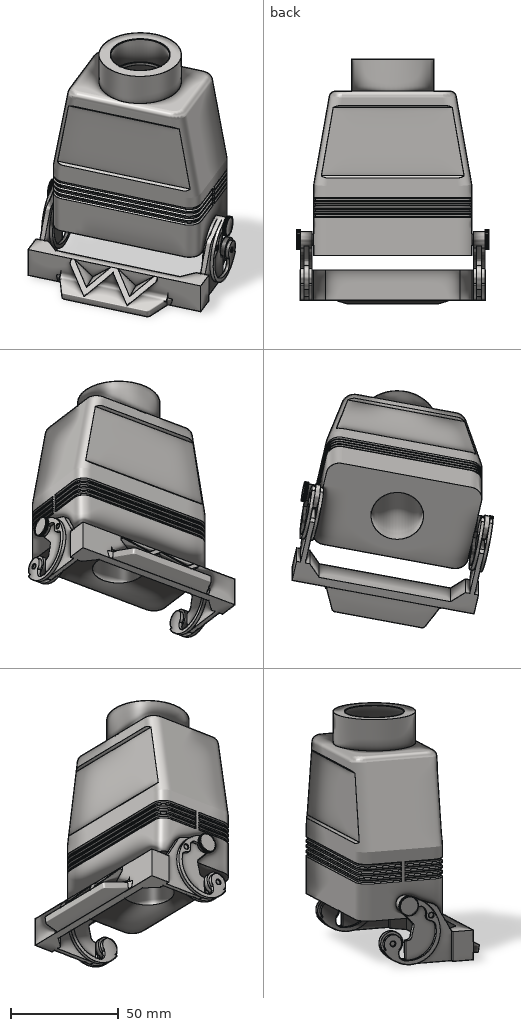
import cadquery as cq
import math

OVERLAP = 1.0

HOOD_LENGTH = 73.4
HOOD_DEPTH = 43.0
SKIRT_HEIGHT = 32.6
HOOD_HEIGHT = 76.2
ROOF_LENGTH = 58.0
HOOD_CORNER_RADIUS = 6.1
ROOF_EDGE_RADIUS = 3.1

ENTRY_DIAMETER = 38.2
ENTRY_TOP = 91.0
ENTRY_BORE = 27.8
ENTRY_BORE_DEPTH = 12.5
ENTRY_CHAMFER = 0.3
THROUGH_BORE = 24.3
SHELF_CHAMFER = 0.8

PANEL_BOTTOM = 37.0
PANEL_TOP = 68.5
PANEL_BOTTOM_LENGTH = 66.0
PANEL_TOP_LENGTH = 55.2
PANEL_DEPTH = 1.05
PANEL_WALL_ANGLE = 45.0

GROOVE_COUNT = 4
GROOVE_WIDTH = 1.8
GROOVE_FLOOR_WIDTH = 0.8
GROOVE_DEPTH = 0.8
GROOVE_CLEARANCE = 0.2
GROOVE_PITCH = 2.5
LOWEST_GROOVE_HEIGHT = 18.5
GROOVE_GAP = 1.9

PLATE_CENTER_X = 40.05
PLATE_THICKNESS = 2.3
BAND_THICKNESS = 5.5
PIVOT_HEIGHT = 7.35
PIVOT_BOSS_RADIUS = 3.9
PIVOT_SHAFT_RADIUS = 2.65
LEVER_HALF_LENGTH = 44.5
KNURL_RADIUS = 4.65
KNURL_COUNT = 36
KNURL_DEPTH = 0.3
HOOK_Y = 7.5
HOOK_Z = -10.2
HOOK_RADIUS = 5.5
HOOK_BAND_RADIUS = 4.3
DIMPLE_RADIUS = 1.4
DIMPLE_FLOOR_RADIUS = 1.15
DIMPLE_DEPTH = 0.4
STUD_Y = -11.6
STUD_Z = 1.9


BOSS_TOP = (-1.5, 10.95)
SHOULDER_START = (-13.2, 6.8)
SHOULDER_CREST = (-14.3, 6.3)
SHOULDER_END = (-15.2, 5.4)
THROAT_FOOT = (0.3, -18.9)
THROAT_LIP = (0.5, -9.7)
NOTCH_START = (-0.9, -9.6)
NOTCH_MIDDLE = (-2.1, -8.8)
NOTCH_END = (-2.6, -7.2)
KNEE_START = (-3.6, -3.1)
KNEE_MIDDLE = (-3.6, -2.5)
KNEE_END = (-3.3, -1.8)
BOSS_UNDERSIDE = (2.6, 4.4)

BAND_BACK_BULGE = (-9.9, 7.1)
ARM_OUTER_BULGE = (5.3, -19.2)
ARM_OUTER_END = (11.8, -13.6)
ARM_INNER_START = (4.2, -13.3)
ARM_INNER_BULGE = (4.3, -16.4)
ARM_INNER_END = (1.2, -18.8)
STUD_PAD_START = (-13.9, -3.2)
STUD_PAD_LOWER_BULGE = (-12.9, -1.5)
STUD_PAD_BOTTOM = (-11.4, -0.8)
STUD_PAD_SIDE_BULGE = (-9.7, 0.1)
STUD_PAD_SIDE = (-9.2, 2.0)
STUD_PAD_UPPER_BULGE = (-8.8, 4.8)
STUD_PAD_TOP = (-7.0, 6.4)

BAR_LENGTH = 86.1
BAR_BACK = -22.3
BAR_FRONT = -32.4
BAR_TOP = -6.7
BAR_BOTTOM = -20.8
BAR_NOTCH_FLOOR = -28.3
BAR_NOTCH_LENGTH = 73.6
BAR_NOTCH_FLOOR_LENGTH = 62.2

BAND_OUTER_RADIUS = 15.2
BAND_INNER_RADIUS = 13.2
BAND_CENTER_Y = -0.9
BAND_CENTER_Z = BAR_BOTTOM + BAND_OUTER_RADIUS

HANDLE_TIP = -44.14
HANDLE_LOWEST = -22.37
HANDLE_SLOPE = 8.7
HANDLE_THICKNESS = 3.6
HANDLE_ROOT_HALF = 29.1
HANDLE_NECK_HALF = 26.7
HANDLE_NECK_REACH = 1.3
HANDLE_TIP_HALF = 21.6
HANDLE_CORNER_RADIUS = 2.0
HANDLE_EDGE_RADIUS = 0.5
COVE_TOP = -13.5
COVE_REACH = 2.4
COVE_SAG = 0.27
COVE_HALF_LENGTH = 26.7

RIB_PITCH = 21.5
RIB_SHOULDER = -8.5
RIB_APEX_Z = -18.6
RIB_TIP_Y = -43.4
RIB_POCKET_LENGTH = 18.2
RIB_POCKET_APEX_Z = -15.3
RIB_POCKET_RISE = 1.2
RIB_POCKET_OVERRUN = 1.2


def make_hood():
    """Solid hood with rounded upright corners and roof edges."""
    half = HOOD_LENGTH / 2
    roof_half = ROOF_LENGTH / 2
    body = (
        cq.Workplane("XZ")
        .polyline([
            (-half, 0), (half, 0), (half, SKIRT_HEIGHT), (roof_half, HOOD_HEIGHT),
            (-roof_half, HOOD_HEIGHT), (-half, SKIRT_HEIGHT),
        ])
        .close()
        .extrude(HOOD_DEPTH / 2, both=True)
    )
    body = body.edges("#Y and (not #Z)").fillet(HOOD_CORNER_RADIUS)
    return body.faces(">Z").edges().fillet(ROOF_EDGE_RADIUS)


def make_panel_cutter():
    """Trapezoidal recess on the -Y face, widening outwards."""
    wall_y = -HOOD_DEPTH / 2
    return (
        cq.Workplane("XZ", origin=(0, wall_y + PANEL_DEPTH, 0))
        .polyline([
            (-PANEL_BOTTOM_LENGTH / 2, PANEL_BOTTOM), (PANEL_BOTTOM_LENGTH / 2, PANEL_BOTTOM),
            (PANEL_TOP_LENGTH / 2, PANEL_TOP), (-PANEL_TOP_LENGTH / 2, PANEL_TOP),
        ])
        .close()
        .extrude(PANEL_DEPTH, taper=-PANEL_WALL_ANGLE)
    )


def make_groove(height):
    """Tapered groove around the skirt, interrupted in the middle of both ends."""
    half_x = HOOD_LENGTH / 2
    half_y = HOOD_DEPTH / 2
    r = HOOD_CORNER_RADIUS
    diag = r * (1 - math.sqrt(0.5))
    path = (
        cq.Workplane("XY", origin=(0, 0, height))
        .moveTo(0, -half_y)
        .lineTo(half_x - r, -half_y)
        .threePointArc((half_x - diag, -half_y + diag), (half_x, -half_y + r))
        .lineTo(half_x, half_y - r)
        .threePointArc((half_x - diag, half_y - diag), (half_x - r, half_y))
        .lineTo(-half_x + r, half_y)
        .threePointArc((-half_x + diag, half_y - diag), (-half_x, half_y - r))
        .lineTo(-half_x, -half_y + r)
        .threePointArc((-half_x + diag, -half_y + diag), (-half_x + r, -half_y))
        .close()
    )
    ring = (
        cq.Workplane("YZ", origin=(0, -half_y, height))
        .polyline([
            (-GROOVE_CLEARANCE, -GROOVE_WIDTH / 2), (0, -GROOVE_WIDTH / 2),
            (GROOVE_DEPTH, -GROOVE_FLOOR_WIDTH / 2), (GROOVE_DEPTH, GROOVE_FLOOR_WIDTH / 2),
            (0, GROOVE_WIDTH / 2), (-GROOVE_CLEARANCE, GROOVE_WIDTH / 2),
        ])
        .close()
        .sweep(path)
    )
    gap = cq.Workplane("XY").box(2 * HOOD_LENGTH, GROOVE_GAP, 2 * GROOVE_WIDTH)
    return ring.cut(gap.translate((0, 0, height)))


def add_cable_entry(body):
    """Round collar with a stepped bore running down through the hood."""
    shelf = ENTRY_TOP - ENTRY_BORE_DEPTH
    collar = (
        cq.Workplane("XY", origin=(0, 0, HOOD_HEIGHT - OVERLAP))
        .circle(ENTRY_DIAMETER / 2).extrude(ENTRY_TOP - HOOD_HEIGHT + OVERLAP)
    )
    bore_r = ENTRY_BORE / 2
    through_r = THROUGH_BORE / 2
    bore = (
        cq.Workplane("XZ")
        .polyline([
            (0, 0), (through_r, 0), (through_r, shelf - SHELF_CHAMFER),
            (through_r + SHELF_CHAMFER, shelf), (bore_r - ENTRY_CHAMFER, shelf),
            (bore_r - ENTRY_CHAMFER, ENTRY_TOP - ENTRY_CHAMFER), (bore_r, ENTRY_TOP), (0, ENTRY_TOP),
        ])
        .close()
        .revolve(360, (0, 0, 0), (0, 1, 0))
    )
    return body.union(collar).cut(bore)


def lever_disc(y, z, radius, thickness):
    """Disc centred on the lever's middle plane."""
    disc = cq.Workplane("YZ", origin=(PLATE_CENTER_X, y, z)).circle(radius)
    return disc.extrude(thickness / 2, both=True)


def band_point(radius, degrees):
    """Point in the YZ plane on a circle about the hook band's centre."""
    angle = math.radians(degrees)
    return BAND_CENTER_Y + radius * math.cos(angle), BAND_CENTER_Z + radius * math.sin(angle)


def make_plate():
    """Middle web of the lever, from the pivot to the bar, and the hook roller disc."""
    web = (
        cq.Workplane("YZ", origin=(PLATE_CENTER_X, 0, 0))
        .moveTo(*BOSS_TOP)
        .lineTo(*SHOULDER_START)
        .threePointArc(SHOULDER_CREST, SHOULDER_END)
        .lineTo(BAR_BACK, BAR_TOP)
        .lineTo(BAR_BACK, BAR_BOTTOM)
        .lineTo(BAND_CENTER_Y, BAR_BOTTOM)
        .lineTo(*THROAT_FOOT)
        .lineTo(*THROAT_LIP)
        .lineTo(*NOTCH_START)
        .threePointArc(NOTCH_MIDDLE, NOTCH_END)
        .lineTo(*KNEE_START)
        .threePointArc(KNEE_MIDDLE, KNEE_END)
        .lineTo(*BOSS_UNDERSIDE)
        .close()
        .extrude(PLATE_THICKNESS / 2, both=True)
    )
    web = web.union(lever_disc(0, PIVOT_HEIGHT, PIVOT_BOSS_RADIUS, PLATE_THICKNESS))
    return web.union(lever_disc(HOOK_Y, HOOK_Z, HOOK_RADIUS, PLATE_THICKNESS))


def make_band():
    """Pair of C-shaped cheeks from the pivot boss round to the hook disc."""
    band = (
        cq.Workplane("YZ", origin=(PLATE_CENTER_X, 0, 0))
        .moveTo(*BOSS_TOP)
        .threePointArc(BAND_BACK_BULGE, band_point(BAND_OUTER_RADIUS, 180))
        .threePointArc(band_point(BAND_OUTER_RADIUS, 225), band_point(BAND_OUTER_RADIUS, 270))
        .threePointArc(ARM_OUTER_BULGE, ARM_OUTER_END)
        .lineTo(HOOK_Y, HOOK_Z)
        .lineTo(*ARM_INNER_START)
        .threePointArc(ARM_INNER_BULGE, ARM_INNER_END)
        .lineTo(*band_point(BAND_INNER_RADIUS, 270))
        .threePointArc(band_point(BAND_INNER_RADIUS, 225), band_point(BAND_INNER_RADIUS, 180))
        .lineTo(*STUD_PAD_START)
        .threePointArc(STUD_PAD_LOWER_BULGE, STUD_PAD_BOTTOM)
        .threePointArc(STUD_PAD_SIDE_BULGE, STUD_PAD_SIDE)
        .threePointArc(STUD_PAD_UPPER_BULGE, STUD_PAD_TOP)
        .lineTo(0, STUD_PAD_TOP[1])
        .close()
        .extrude(BAND_THICKNESS / 2, both=True)
    )
    band = band.union(lever_disc(0, PIVOT_HEIGHT, PIVOT_BOSS_RADIUS, BAND_THICKNESS))
    band = band.union(lever_disc(HOOK_Y, HOOK_Z, HOOK_BAND_RADIUS, BAND_THICKNESS))
    gap = cq.Workplane("YZ", origin=(PLATE_CENTER_X, 0, 0)).rect(BAR_LENGTH, BAR_LENGTH)
    return band.cut(gap.extrude(PLATE_THICKNESS / 2, both=True))


def make_dimple(y, z):
    """Shallow conical dimple in the outer band face."""
    face_x = PLATE_CENTER_X + BAND_THICKNESS / 2
    cone = cq.Solid.makeCone(
        DIMPLE_RADIUS, DIMPLE_FLOOR_RADIUS, DIMPLE_DEPTH, cq.Vector(face_x, y, z), cq.Vector(-1, 0, 0)
    )
    return cq.Workplane(cone)


def make_pivot():
    """Shaft into the hood wall and knurled head outside the lever."""
    shaft_start = HOOD_LENGTH / 2 - OVERLAP
    head_start = PLATE_CENTER_X + BAND_THICKNESS / 2
    head_length = LEVER_HALF_LENGTH - head_start
    shaft = (
        cq.Workplane("YZ", origin=(shaft_start, 0, PIVOT_HEIGHT))
        .circle(PIVOT_SHAFT_RADIUS).extrude(head_start - shaft_start)
    )
    knurl = []
    for i in range(2 * KNURL_COUNT):
        radius = KNURL_RADIUS - KNURL_DEPTH * (i % 2)
        angle = math.pi * i / KNURL_COUNT
        knurl.append((radius * math.cos(angle), radius * math.sin(angle)))
    head = (
        cq.Workplane("YZ", origin=(head_start, 0, PIVOT_HEIGHT))
        .polyline(knurl).close().extrude(head_length)
    )
    return shaft.union(head)


def make_lever_side():
    """Complete lever arm on the +X side of the hood."""
    side = make_plate().union(make_band())
    side = side.cut(make_dimple(HOOK_Y, HOOK_Z)).cut(make_dimple(STUD_Y, STUD_Z))
    return side.union(make_pivot())


def make_bar():
    """Cross bar with a wide notch that clears the hood."""
    half = BAR_LENGTH / 2
    notch = BAR_NOTCH_LENGTH / 2
    floor = BAR_NOTCH_FLOOR_LENGTH / 2
    return (
        cq.Workplane("XY", origin=(0, 0, BAR_BOTTOM))
        .polyline([
            (-half, BAR_FRONT), (half, BAR_FRONT), (half, BAR_BACK), (notch, BAR_BACK),
            (floor, BAR_NOTCH_FLOOR), (-floor, BAR_NOTCH_FLOOR), (-notch, BAR_BACK), (-half, BAR_BACK),
        ])
        .close()
        .extrude(BAR_TOP - BAR_BOTTOM)
    )


def make_handle():
    """Downward-sloping grip with rounded edges and a cove where it meets the bar."""
    slope = math.radians(HANDLE_SLOPE)
    run, drop = math.cos(slope), math.sin(slope)
    round_r = HANDLE_EDGE_RADIUS
    length = (BAR_FRONT - HANDLE_TIP - round_r * (1 - run - drop)) / run
    root_top = HANDLE_LOWEST + length * drop + HANDLE_THICKNESS * run + round_r * (1 - run - drop)
    grip = (
        cq.Workplane("XY")
        .moveTo(-HANDLE_ROOT_HALF, OVERLAP)
        .lineTo(-HANDLE_ROOT_HALF, 0)
        .lineTo(-HANDLE_NECK_HALF, -HANDLE_NECK_REACH)
        .lineTo(-HANDLE_TIP_HALF, -length)
        .lineTo(HANDLE_TIP_HALF, -length)
        .lineTo(HANDLE_NECK_HALF, -HANDLE_NECK_REACH)
        .lineTo(HANDLE_ROOT_HALF, 0)
        .lineTo(HANDLE_ROOT_HALF, OVERLAP)
        .close()
        .extrude(-HANDLE_THICKNESS)
        .edges("|Z and <Y").fillet(HANDLE_CORNER_RADIUS)
        .faces("|Z").edges().fillet(round_r)
        .rotate((0, 0, 0), (1, 0, 0), HANDLE_SLOPE)
        .translate((0, BAR_FRONT, root_top))
    )

    cove_end_y = BAR_FRONT - COVE_REACH * run
    cove_end_z = root_top - COVE_REACH * drop
    cove = (
        cq.Workplane("YZ")
        .moveTo(cove_end_y, cove_end_z - round_r)
        .lineTo(cove_end_y, cove_end_z)
        .threePointArc(
            (BAR_FRONT - COVE_SAG * COVE_REACH, root_top + COVE_SAG * (COVE_TOP - root_top)),
            (BAR_FRONT, COVE_TOP),
        )
        .lineTo(BAR_FRONT + OVERLAP, COVE_TOP)
        .lineTo(BAR_FRONT + OVERLAP, root_top - round_r)
        .close()
        .extrude(COVE_HALF_LENGTH, both=True)
    )
    return grip.union(cove)


def make_rib(center_x):
    """Triangular rib with a sloping face, hollowed by a pocket back to the bar."""
    half = RIB_PITCH / 2
    body = (
        cq.Workplane("XZ", origin=(center_x, BAR_FRONT, 0))
        .polyline([
            (-half, BAR_TOP), (-half, RIB_SHOULDER), (0, RIB_APEX_Z), (half, RIB_SHOULDER), (half, BAR_TOP),
        ])
        .close()
        .extrude(BAR_FRONT - RIB_TIP_Y)
    )
    slope = (
        cq.Workplane("YZ")
        .polyline([(BAR_FRONT, BAR_TOP), (BAR_FRONT, RIB_APEX_Z), (RIB_TIP_Y, RIB_APEX_Z)])
        .close()
        .extrude(BAR_LENGTH / 2, both=True)
    )
    pocket_half = RIB_POCKET_LENGTH / 2
    pocket_depth = (BAR_TOP - RIB_POCKET_APEX_Z) * (BAR_FRONT - RIB_TIP_Y) / (BAR_TOP - RIB_APEX_Z)
    mouth = cq.Wire.makePolygon([
        cq.Vector(center_x - pocket_half, BAR_FRONT, BAR_TOP),
        cq.Vector(center_x + pocket_half, BAR_FRONT, BAR_TOP),
        cq.Vector(center_x, BAR_FRONT, RIB_POCKET_APEX_Z + RIB_POCKET_RISE),
    ], close=True)
    floor_run = cq.Vector(0, -pocket_depth, -RIB_POCKET_RISE) * RIB_POCKET_OVERRUN
    pocket = cq.Solid.extrudeLinear(mouth, [], floor_run)
    return body.intersect(slope).cut(cq.Workplane(pocket))


hood = make_hood()
panel = make_panel_cutter()
hood = hood.cut(panel).cut(panel.mirror("XZ"))
for i in range(GROOVE_COUNT):
    hood = hood.cut(make_groove(LOWEST_GROOVE_HEIGHT + i * GROOVE_PITCH))
hood = add_cable_entry(hood)

lever_side = make_lever_side()
lever = make_bar().union(make_handle())
for rib_x in (-RIB_PITCH / 2, RIB_PITCH / 2):
    lever = lever.union(make_rib(rib_x))
lever = lever.union(lever_side).union(lever_side.mirror("YZ"))

result = hood.union(lever)